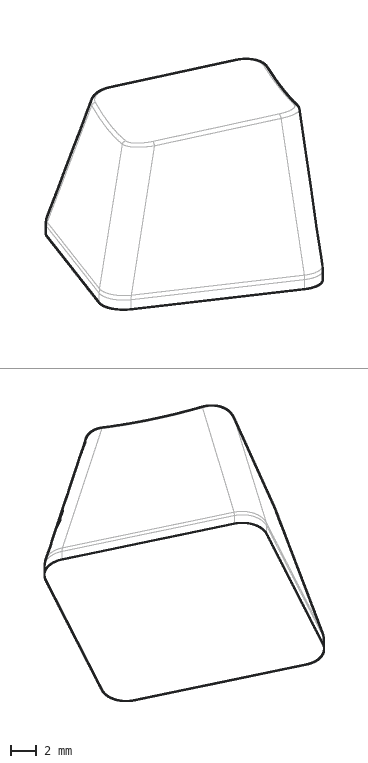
import cadquery as cq
import math

base_size = 18.16
corner_radius = 2.0
skirt_height = 0.82

bend_height = 0.36
bend_side_inset = 0.04
bend_front_inset = 0.04
bend_back_inset = 0.02

crown_width = 11.99
crown_front = -6.17
crown_back = 8.03
crown_tilt = 6.0
crown_height = 13.02
dish_depth = 0.47
rim_fillet = 0.33

tilt = math.radians(crown_tilt)
crown_length = (crown_back - crown_front) / math.cos(tilt)
crown_mid_y = (crown_back + crown_front) / 2
crown_center = (0, crown_mid_y, crown_height + crown_mid_y * math.tan(tilt))
crown_plane = cq.Plane(
    origin=crown_center,
    xDir=(1, 0, 0),
    normal=(0, -math.sin(tilt), math.cos(tilt)),
)


def rounded_outline(width, length, location):
    outline = cq.Sketch().rect(width, length).vertices().fillet(corner_radius)
    return outline.moved(location)


def make_body():
    """Level skirt, bend band and straight taper up to the tilted crown plane."""
    skirt_top = rounded_outline(base_size, base_size, cq.Location((0, 0, skirt_height)))
    bend_top = rounded_outline(
        base_size - 2 * bend_side_inset,
        base_size - bend_front_inset - bend_back_inset,
        cq.Location((0, (bend_front_inset - bend_back_inset) / 2, skirt_height + bend_height)),
    )
    crown = rounded_outline(crown_width, crown_length, crown_plane.location)

    skirt = cq.Workplane("XY").placeSketch(skirt_top).extrude(-skirt_height)
    bend = cq.Workplane("XY").placeSketch(skirt_top, bend_top).loft(ruled=True)
    taper = cq.Workplane("XY").placeSketch(bend_top, crown).loft(ruled=True)
    return skirt.union(bend).union(taper)


def make_dish_cutter():
    """Cylinder along the sloping crown that meets the side edges of the crown plane."""
    half_width = crown_width / 2
    dish_radius = (half_width**2 + dish_depth**2) / (2 * dish_depth)
    axis_plane = cq.Plane(
        origin=crown_plane.toWorldCoords((0, 0, dish_radius - dish_depth)),
        xDir=(1, 0, 0),
        normal=(0, math.cos(tilt), math.sin(tilt)),
    )
    return cq.Workplane(axis_plane).circle(dish_radius).extrude(crown_length, both=True)


body = make_body().cut(make_dish_cutter())
dish_face = body.faces(cq.selectors.NearestToPointSelector(crown_center))
result = cq.Workplane(dish_face.edges().fillet(rim_fillet).solids().val())